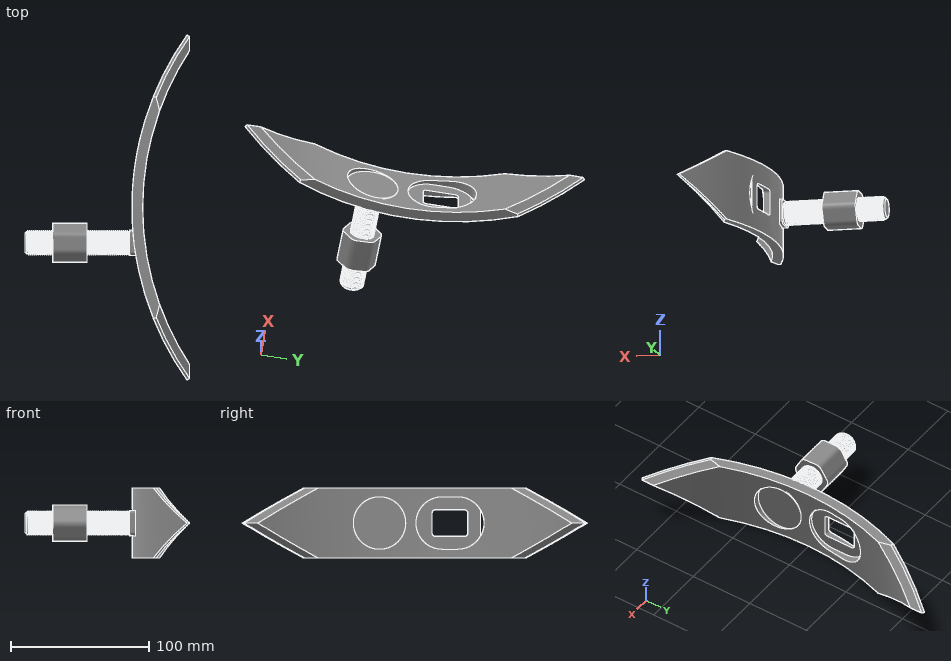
import cadquery as cq
import math

BLADE_LENGTH = 250.0
BLADE_HEIGHT = 50.7
BLADE_THICKNESS = 8.0
BLADE_RISE = 40.0
TAPER_START_Y = 80.5
LAND_THICKNESS = 2.2
BEVEL_RUN = 8.2

OUTER_RADIUS = ((BLADE_LENGTH / 2) ** 2 + BLADE_RISE**2) / (2 * BLADE_RISE)
INNER_RADIUS = OUTER_RADIUS - BLADE_THICKNESS
LAND_RADIUS = OUTER_RADIUS - LAND_THICKNESS
TIP_ANGLE = math.asin(BLADE_LENGTH / 2 / OUTER_RADIUS)
TAPER_START_ANGLE = math.asin(TAPER_START_Y / OUTER_RADIUS)
BEVEL_ANGLE = BEVEL_RUN / INNER_RADIUS
TAPER_STEPS = 5

HOLE_OFFSET_Y = 25.5
SLOT_LENGTH = 25.7
SLOT_HEIGHT = 19.0
SLOT_CORNER_RADIUS = 2.2
HEAD_DIAMETER = 38.0
RECESS_LENGTH = 49.2
FLOOR_EDGE_Y = 47.7
RECESS_FLOOR_X = OUTER_RADIUS - math.sqrt(OUTER_RADIUS**2 - FLOOR_EDGE_Y**2)

BOLT_TIP_X = -77.5
HEAD_THICKNESS = BLADE_THICKNESS - RECESS_FLOOR_X
NECK_WIDTH = 18.5
NECK_CORNER_RADIUS = 2.5
NECK_START_X = -1.5
CORE_DIAMETER = 16.0
TIP_CHAMFER = 1.2

THREAD_DIAMETER = 17.5
THREAD_ROOT_WIDTH = 1.2
THREAD_CREST_WIDTH = 0.12
THREAD_TURNS = 52

NUT_ACROSS_FLATS = 26.0
NUT_CORNER_RADIUS = 5.2
NUT_START_X = -57.2
NUT_LENGTH = 25.0
NUT_TURN = 3.0

CUT_DEPTH = 25.0
CUT_MARGIN = 12.5
BEVEL_OVERCUT = 2.5


def polar_point(radius, angle):
    """Point in the XY plane at an angle from the blade's middle, about the bend axis."""
    return OUTER_RADIUS - radius * math.cos(angle), radius * math.sin(angle)


def yz_plane(x, y):
    """Plane facing +X, with its local axes along Y and Z."""
    return cq.Plane(origin=(x, y, 0), xDir=(0, 1, 0), normal=(1, 0, 0))


def curved_strip():
    end_angle = TIP_ANGLE + BEVEL_ANGLE
    return (
        cq.Workplane("XY")
        .moveTo(*polar_point(OUTER_RADIUS, -end_angle))
        .threePointArc((0, 0), polar_point(OUTER_RADIUS, end_angle))
        .lineTo(*polar_point(INNER_RADIUS, end_angle))
        .threePointArc((BLADE_THICKNESS, 0), polar_point(INNER_RADIUS, -end_angle))
        .close()
        .extrude(BLADE_HEIGHT / 2, both=True)
    )


def taper_section(fraction):
    """Outline of the waste beyond the land and bevel; fraction 0 is at the tip, 1 at full height."""
    edge_angle = TIP_ANGLE + fraction * (TAPER_START_ANGLE - TIP_ANGLE)
    bevel_slope = BEVEL_ANGLE / (BLADE_THICKNESS - LAND_THICKNESS)
    cut_radius = INNER_RADIUS - BEVEL_OVERCUT
    far_angle = TIP_ANGLE + CUT_MARGIN / INNER_RADIUS
    corners = [
        polar_point(OUTER_RADIUS + CUT_MARGIN, edge_angle),
        polar_point(LAND_RADIUS, edge_angle),
        polar_point(cut_radius, edge_angle - bevel_slope * (LAND_RADIUS - cut_radius)),
        polar_point(cut_radius - CUT_MARGIN, far_angle),
        polar_point(OUTER_RADIUS + CUT_MARGIN, far_angle),
    ]
    height = fraction * BLADE_HEIGHT / 2
    return cq.Wire.makePolygon([cq.Vector(x, y, height) for x, y in corners], close=True)


def taper_waste():
    """Material cut from the upper edge of the +Y point."""
    sections = [taper_section(i / TAPER_STEPS) for i in range(TAPER_STEPS + 2)]
    return cq.Workplane(cq.Solid.makeLoft(sections))


def make_blade():
    blade = curved_strip()
    upper = taper_waste()
    for waste in (upper, upper.mirror("XZ")):
        blade = blade.cut(waste).cut(waste.mirror("XY"))

    slot = (
        cq.Workplane(yz_plane(0, HOLE_OFFSET_Y))
        .rect(SLOT_LENGTH, SLOT_HEIGHT)
        .extrude(CUT_DEPTH)
        .edges("|X")
        .fillet(SLOT_CORNER_RADIUS)
    )
    slot_recess = (
        cq.Workplane(yz_plane(RECESS_FLOOR_X, HOLE_OFFSET_Y))
        .slot2D(RECESS_LENGTH, HEAD_DIAMETER)
        .extrude(CUT_DEPTH)
    )
    head_recess = (
        cq.Workplane(yz_plane(RECESS_FLOOR_X, -HOLE_OFFSET_Y))
        .circle(HEAD_DIAMETER / 2)
        .extrude(CUT_DEPTH)
    )
    return blade.cut(slot).cut(slot_recess).cut(head_recess).cut(bolt_neck())


def bolt_neck():
    return (
        cq.Workplane(yz_plane(NECK_START_X, -HOLE_OFFSET_Y))
        .rect(NECK_WIDTH, NECK_WIDTH)
        .extrude(RECESS_FLOOR_X - NECK_START_X)
        .edges("|X")
        .fillet(NECK_CORNER_RADIUS)
    )


def make_bolt():
    core = (
        cq.Workplane(yz_plane(BOLT_TIP_X, -HOLE_OFFSET_Y))
        .circle(CORE_DIAMETER / 2)
        .extrude(NECK_START_X - BOLT_TIP_X)
        .faces("<X")
        .chamfer(TIP_CHAMFER)
    )
    head = (
        cq.Workplane(yz_plane(RECESS_FLOOR_X, -HOLE_OFFSET_Y))
        .circle(HEAD_DIAMETER / 2)
        .extrude(HEAD_THICKNESS)
    )
    return core.union(bolt_neck()).union(head)


def make_thread():
    """Helical ridge from the tip chamfer to the neck, wound along Z and then laid on the bolt core."""
    root_radius = CORE_DIAMETER / 2
    crest_radius = THREAD_DIAMETER / 2
    start_x = BOLT_TIP_X + TIP_CHAMFER + THREAD_ROOT_WIDTH / 2
    rise = NECK_START_X - THREAD_ROOT_WIDTH / 2 - start_x
    path = cq.Wire.makeHelix(rise / THREAD_TURNS, rise, root_radius)
    ridge = (
        cq.Workplane("XZ")
        .polyline(
            [
                (root_radius, -THREAD_ROOT_WIDTH / 2),
                (crest_radius, -THREAD_CREST_WIDTH / 2),
                (crest_radius, THREAD_CREST_WIDTH / 2),
                (root_radius, THREAD_ROOT_WIDTH / 2),
            ]
        )
        .close()
        .sweep(cq.Workplane(path), isFrenet=True)
    )
    return ridge.rotate((0, 0, 0), (0, 1, 0), 90).translate((start_x, -HOLE_OFFSET_Y, 0))


def make_nut():
    across_corners = NUT_ACROSS_FLATS / math.cos(math.pi / 6)
    return (
        cq.Workplane(yz_plane(NUT_START_X, -HOLE_OFFSET_Y))
        .polygon(6, across_corners)
        .extrude(NUT_LENGTH)
        .edges("|X")
        .fillet(NUT_CORNER_RADIUS)
        .faces("<X")
        .workplane(centerOption="CenterOfMass")
        .circle(THREAD_DIAMETER / 2)
        .cutThruAll()
        .rotate((0, -HOLE_OFFSET_Y, 0), (1, -HOLE_OFFSET_Y, 0), NUT_TURN)
    )


blade = make_blade()
bolt = make_bolt()
thread = make_thread()
nut = make_nut()

result = cq.Compound.makeCompound([blade.val(), bolt.val(), thread.val(), nut.val()])